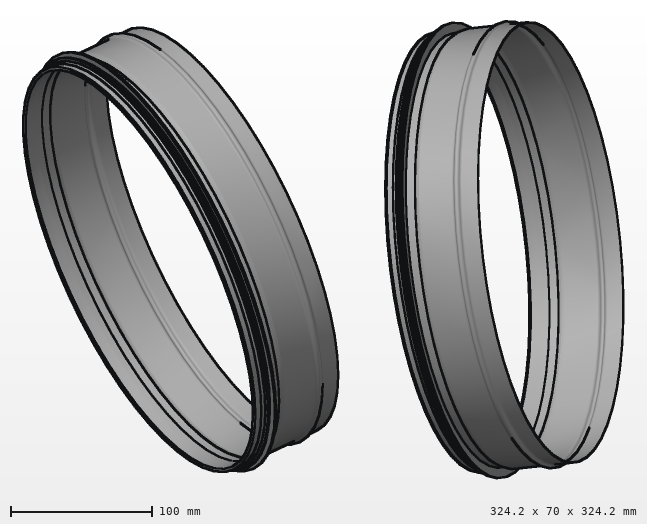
import cadquery as cq
import math

length = 70.0
sheet = 0.5
tube_radius = 314.0 / 2
seat_start_radius = 310.3 / 2
seat_radius = 309.0 / 2

step_start = 26.0
step_bend_end = 24.3
step_bend_drop = 0.5
step_end = 22.0
taper_end = 9.7

bead_center = 54.5
bead_half_width = 4.0
bead_height = 2.3
bead_crest_radius = 2.3

fold_radius = (tube_radius - seat_radius + sheet) / 2
fold_axis_radius = tube_radius - fold_radius
flare_start = 6.0
flare_end = 8.8
flare_rise = 1.15

gasket_foot_radius = tube_radius - sheet
neck_radius = 312.0 / 2
rear_lip_radius = 324.2 / 2
rear_lip_tip = 14.0
rear_lip_root = 15.2
rear_lip_thickness = 1.3
front_lip_radius = 319.5 / 2
front_lip_root = 11.0
front_lip_thickness = 1.3


def revolve_about_y(profile):
    """Turn a closed (radius, axial) profile once around the Y axis."""
    turned = profile.close().revolve(360, (0, 0, 0), (0, 1, 0))
    return turned.translate((0, -length / 2, 0))


def bead_points(depth):
    """Points of the bead on the surface lying `depth` below the outer face, from front to rear.

    Each foot is a concave arc tangent to the wall and to the convex crest arc.
    """
    crest_center = tube_radius + bead_height - bead_crest_radius
    offset = crest_center - tube_radius
    foot_radius = ((bead_half_width**2 + offset**2 - bead_crest_radius**2)
                   / (2 * (offset + bead_crest_radius)))
    foot_center = tube_radius + foot_radius
    contact_angle = math.atan2(bead_half_width, foot_center - crest_center)
    foot = foot_radius + depth
    half_angle = contact_angle / 2
    wall = (foot_center - foot, bead_half_width)
    foot_middle = (foot_center - foot * math.cos(half_angle),
                   bead_half_width - foot * math.sin(half_angle))
    contact = (foot_center - foot * math.cos(contact_angle),
               bead_half_width - foot * math.sin(contact_angle))
    crest = (tube_radius + bead_height - depth, 0)
    rear_half = [contact, foot_middle, wall]
    front_half = [(radius, -axial) for radius, axial in reversed(rear_half)]
    return [(radius, bead_center + axial) for radius, axial in front_half + [crest] + rear_half]


def add_bead(profile, points):
    """Draw foot, crest and foot arcs through the seven bead points."""
    profile = profile.lineTo(*points[0])
    for first in (1, 3, 5):
        profile = profile.threePointArc(points[first], points[first + 1])
    return profile


def make_collar():
    """Sheet-metal tube with bead, stepped gasket seat and folded hem."""
    step_points = [
        (taper_end, seat_radius),
        (step_end, seat_start_radius),
        (step_bend_end, tube_radius - step_bend_drop),
        (step_start, tube_radius),
    ]
    flare_radius = tube_radius + flare_rise

    profile = cq.Workplane("XY").moveTo(seat_radius, fold_radius)
    for axial, radius in step_points:
        profile = profile.lineTo(radius, axial)
    profile = add_bead(profile, bead_points(0)).lineTo(tube_radius, length)

    profile = profile.lineTo(tube_radius - sheet, length)
    profile = add_bead(profile, bead_points(sheet)[::-1])
    for axial, radius in reversed(step_points):
        profile = profile.lineTo(radius - sheet, axial)
    profile = profile.lineTo(seat_radius - sheet, fold_radius)

    profile = profile.threePointArc((fold_axis_radius, 0), (tube_radius, fold_radius))
    profile = profile.lineTo(tube_radius, flare_start).lineTo(flare_radius, flare_end)
    profile = profile.lineTo(flare_radius - sheet, flare_end)
    profile = profile.lineTo(tube_radius - sheet, flare_start)
    profile = profile.lineTo(tube_radius - sheet, fold_radius)
    profile = profile.threePointArc((fold_axis_radius, sheet), (seat_radius, fold_radius))
    return revolve_about_y(profile)


def make_gasket():
    """Rubber ring held under the hem, with two sealing lips."""
    taper_rate = (seat_start_radius - seat_radius) / (step_end - taper_end)
    root_radius = seat_radius + taper_rate * (rear_lip_root - taper_end)
    front_lip_face = front_lip_root - front_lip_thickness
    profile = cq.Workplane("XY").polyline([
        (seat_radius, fold_radius),
        (seat_radius, taper_end),
        (root_radius, rear_lip_root),
        (rear_lip_radius, rear_lip_tip + rear_lip_thickness),
        (rear_lip_radius, rear_lip_tip),
        (neck_radius, rear_lip_root - rear_lip_thickness),
        (tube_radius, front_lip_root),
        (front_lip_radius, front_lip_root),
        (front_lip_radius, front_lip_face),
        (gasket_foot_radius, front_lip_face),
        (gasket_foot_radius, fold_radius),
    ])
    return revolve_about_y(profile)


collar = make_collar()
gasket = make_gasket()
result = cq.Compound.makeCompound([collar.val(), gasket.val()])